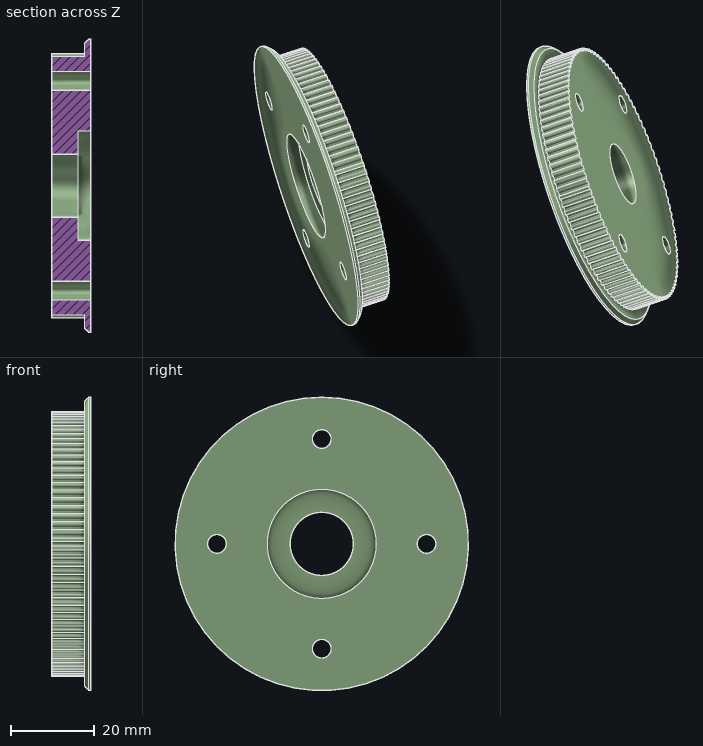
import cadquery as cq
import math

tooth_count = 100
belt_pitch = 2.0
pitch_line_offset = 0.254
groove_depth = 0.72
groove_radius = 0.56
tip_round = 0.15

tooth_length = 7.8
flange_radius = 35.0
flange_bevel = 1.0
flange_rim = 0.5

bore_diameter = 15.0
recess_diameter = 26.0
recess_depth = 3.0
bolt_hole_diameter = 4.4
bolt_circle_radius = 25.0
bolt_count = 4

flange_thickness = flange_bevel + flange_rim
total_length = tooth_length + flange_thickness
tip_radius = tooth_count * belt_pitch / (2 * math.pi) - pitch_line_offset
tooth_angle = 2 * math.pi / tooth_count


def place(side, height, angle):
    """Turn a point on a groove centred on the Z axis about the pulley axis."""
    return (
        side * math.cos(angle) - height * math.sin(angle),
        side * math.sin(angle) + height * math.cos(angle),
    )


def toothed_body():
    """Cylinder with one round-bottomed, straight-walled groove per tooth."""
    bottom = tip_radius - groove_depth
    wall_foot = bottom + groove_radius
    mouth_half = groove_radius + tip_round
    mouth_height = math.sqrt(tip_radius ** 2 - mouth_half ** 2)
    wall_top = mouth_height - tip_round
    round_side = mouth_half - tip_round * math.cos(math.pi / 4)
    round_height = wall_top + tip_round * math.sin(math.pi / 4)

    outline = cq.Workplane("YZ").moveTo(-mouth_half, mouth_height)
    for index in range(tooth_count):
        angle = -index * tooth_angle
        next_angle = angle - tooth_angle
        outline = (
            outline
            .threePointArc(place(-round_side, round_height, angle), place(-groove_radius, wall_top, angle))
            .lineTo(*place(-groove_radius, wall_foot, angle))
            .threePointArc(place(0, bottom, angle), place(groove_radius, wall_foot, angle))
            .lineTo(*place(groove_radius, wall_top, angle))
            .threePointArc(place(round_side, round_height, angle), place(mouth_half, mouth_height, angle))
            .threePointArc(
                place(0, tip_radius, angle - tooth_angle / 2),
                place(-mouth_half, mouth_height, next_angle),
            )
        )
    return outline.close().extrude(total_length)


def flange():
    """Disc with a bevelled edge facing the belt."""
    return (
        cq.Workplane("XZ")
        .moveTo(tooth_length, 0)
        .lineTo(tooth_length, flange_radius - flange_bevel)
        .lineTo(tooth_length + flange_bevel, flange_radius)
        .lineTo(total_length, flange_radius)
        .lineTo(total_length, 0)
        .close()
        .revolve(360, (0, 0, 0), (1, 0, 0))
    )


def through_holes():
    """Central bore with its rear recess, and the ring of bolt holes."""
    bore = cq.Workplane("YZ").circle(bore_diameter / 2).extrude(total_length)
    recess = (
        cq.Workplane("YZ")
        .workplane(offset=total_length - recess_depth)
        .circle(recess_diameter / 2)
        .extrude(recess_depth)
    )
    bolts = (
        cq.Workplane("YZ")
        .polarArray(bolt_circle_radius, 0, 360, bolt_count)
        .circle(bolt_hole_diameter / 2)
        .extrude(total_length)
    )
    return bore.union(recess).union(bolts)


result = toothed_body().union(flange()).cut(through_holes())